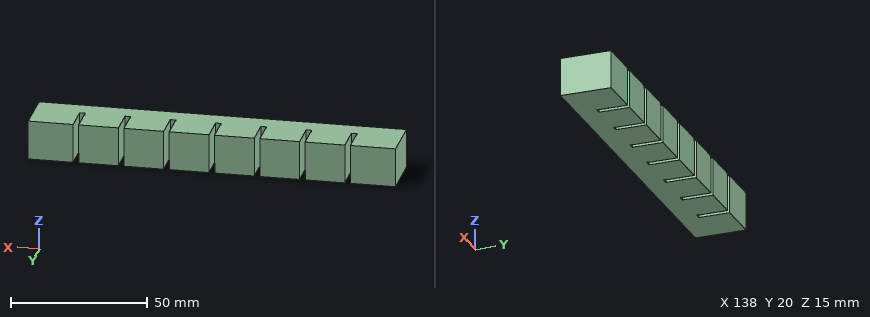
import cadquery as cq

bar_length = 138.0
bar_width = 20.0
bar_height = 15.0

slot_count = 7
slot_width = 2.1
slot_depth = 12.0
end_block_length = 17.0
slot_pitch = (bar_length - 2 * end_block_length - slot_width) / (slot_count - 1)


def make_bar():
    """Plain rectangular bar centred on the origin."""
    return cq.Workplane("XY").box(bar_length, bar_width, bar_height)


def make_slots():
    """Row of evenly spaced slot cutters, centred along the bar."""
    slot_center_y = (bar_width - slot_depth) / 2
    return (
        cq.Workplane("XY")
        .center(0, slot_center_y)
        .rarray(slot_pitch, 1.4, slot_count, 1)
        .box(slot_width, slot_depth, bar_height)
    )


result = make_bar().cut(make_slots())